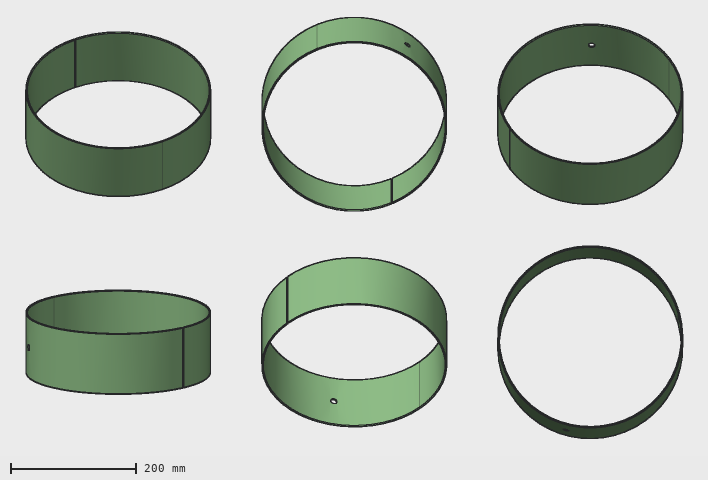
import cadquery as cq
import math

outer_diameter = 295.0
height = 100.0
wall = 2.7
bevel_height = 1.5
outer_bevel_depth = 0.5
inner_bevel_depth = 1.5
outer_radius = outer_diameter / 2
inner_radius = outer_radius - wall

split_width = 2.5
split_center_y = split_width / 2

hole_diameter = 10.0
hole_angle = 59.0
hole_height = height / 2


def make_ring():
    """Thin tube with bevels along the inner and outer edges of both rims."""
    profile = [
        (inner_radius, bevel_height),
        (inner_radius + inner_bevel_depth, 0),
        (outer_radius - outer_bevel_depth, 0),
        (outer_radius, bevel_height),
        (outer_radius, height - bevel_height),
        (outer_radius - outer_bevel_depth, height),
        (inner_radius + inner_bevel_depth, height),
        (inner_radius, height - bevel_height),
    ]
    return cq.Workplane("XZ").polyline(profile).close().revolve(360, (0, 0), (0, 1))


def make_split():
    """Slab that cuts the ring open along its full height."""
    return (
        cq.Workplane("XY")
        .center(-outer_radius, split_center_y)
        .rect(4 * wall, split_width)
        .extrude(height)
    )


def make_hole():
    """Cylinder running outwards from the ring axis through one side of the wall."""
    angle = math.radians(hole_angle)
    direction = cq.Vector(math.cos(angle), math.sin(angle), 0)
    axis_point = cq.Vector(0, 0, hole_height)
    return cq.Solid.makeCylinder(hole_diameter / 2, outer_diameter, axis_point, direction)


result = make_ring().cut(make_split()).cut(make_hole())